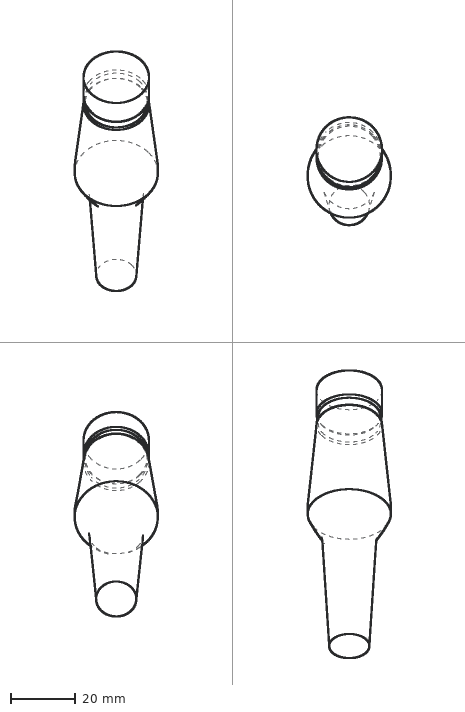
import cadquery as cq

total_height = 100.0
head_bottom = 90.6
groove_top = 89.7
groove_bottom = 87.0
body_top = 86.4
collar_top = 55.1
collar_bottom = 51.5
flare_bottom = 43.2
shank_top = 42.0

head_diameter = 20.5
head_radius = head_diameter / 2
groove_radius = 9.7
collar_radius = 13.0
flare_end_radius = 8.8
shank_top_radius = 8.5
shank_end_radius = 6.3

flare_bulge = 0.2
flare_middle = (
    (flare_end_radius + collar_radius) / 2 + flare_bulge,
    (flare_bottom + collar_bottom) / 2,
)

profile = (
    cq.Workplane("XZ")
    .lineTo(shank_end_radius, 0)
    .lineTo(shank_top_radius, shank_top)
    .lineTo(flare_end_radius, flare_bottom)
    .threePointArc(flare_middle, (collar_radius, collar_bottom))
    .lineTo(collar_radius, collar_top)
    .lineTo(head_radius, body_top)
    .lineTo(groove_radius, groove_bottom)
    .lineTo(groove_radius, groove_top)
    .lineTo(head_radius, head_bottom)
    .lineTo(head_radius, total_height)
    .lineTo(0, total_height)
    .close()
)

result = profile.revolve(360, (0, 0, 0), (0, 1, 0))